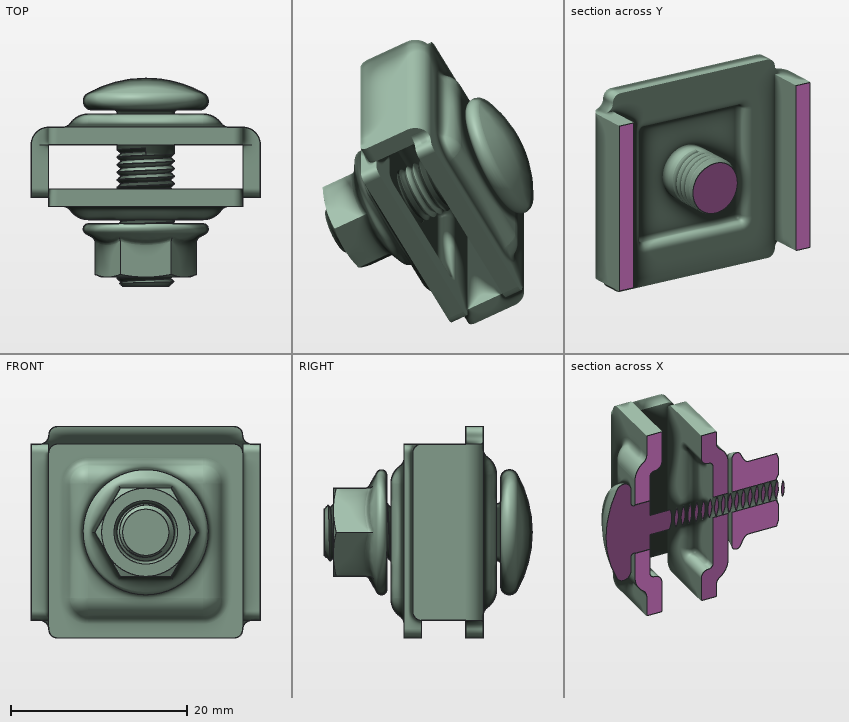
import cadquery as cq
import math


sheet = 2.0
inner_width = 22.0
outer_width = inner_width + 2 * sheet
channel_height = 24.0
wall_height = 20.0
plate_gap = 5.0
wall_overlap = 1.0
corner_radius = 1.0
cover_height = 22.0
cover_center_z = (cover_height - channel_height) / 2

pad_flat = 13.0
pad_rise = 1.5
pad_slope_width = 2.9
pad_crown_radius = 2.5
recess_slope_width = 1.5
recess_crown_radius = 0.5

bolt_length = 20.0
bolt_diameter = 6.5
head_gap = 0.45
head_radius = 7.1
head_height = 3.6
head_rim_radius = 1.0
neck_corner_radius = 0.55
neck_fillet = 0.35
tip_radius = 2.62
tip_chamfer_length = 0.6
thread_pitch = 0.858
thread_depth = 0.45
thread_crest_width = 0.06
thread_overcut = 0.2
thread_start_y = -0.77

nut_gap = 0.45
nut_height = 6.05
across_flats = 10.0
hex_chamfer = 0.3
flange_radius = 7.1
flange_rim_radius = 0.6
flange_slope = math.radians(30)
hex_fillet = 0.5
nut_mouth_diameter = 7.2

cover_inner_y = -plate_gap
cover_outer_y = cover_inner_y - sheet
wall_end_y = cover_inner_y - wall_overlap
head_seat_y = sheet + pad_rise + head_gap
neck_end_y = pad_rise
nut_seat_y = cover_outer_y - pad_rise - nut_gap
nut_end_y = nut_seat_y - nut_height
bolt_tip_y = head_seat_y - bolt_length


def pad_slope(foot_height, width, crown_radius):
    """Outline under a pad's slope: a convex arc beside the flat, then a concave arc to the foot.

    The first coordinate is the distance from the flat, the second is the height.
    """
    steepest = 2 * math.atan(pad_rise / width)
    foot_radius = width / math.sin(steepest) - crown_radius
    flat_height = foot_height + pad_rise

    def on_crown(angle):
        return crown_radius * math.sin(angle), flat_height - crown_radius * (1 - math.cos(angle))

    def on_foot(angle):
        return width - foot_radius * math.sin(angle), foot_height + foot_radius * (1 - math.cos(angle))

    return (
        cq.Workplane("XY")
        .moveTo(0, foot_height)
        .lineTo(0, flat_height)
        .threePointArc(on_crown(steepest / 2), on_crown(steepest))
        .threePointArc(on_foot(steepest / 2), on_foot(0))
        .close()
    )


def pad_shape(foot_height, slope_width, crown_radius):
    """A square pad that rises along Z from foot_height, with slopes that turn about the flat's corners."""
    half_flat = pad_flat / 2
    side = pad_slope(foot_height, slope_width, crown_radius).extrude(pad_flat)
    corner = pad_slope(foot_height, slope_width, crown_radius).revolve(90, (0, 0, 0), (0, 1, 0))
    edge = side.union(corner).rotate((0, 0, 0), (1, 0, 0), 90).translate((half_flat, half_flat, 0))
    pad = cq.Workplane("XY").workplane(offset=foot_height).rect(pad_flat, pad_flat).extrude(pad_rise)
    for turn in range(4):
        pad = pad.union(edge.rotate((0, 0, 0), (0, 0, 1), 90 * turn))
    return pad


def press_pad(plate, toward_back):
    """Adds the raised pad, and the recess under it, to a plate whose inner face is on Y = 0."""
    angle = -90 if toward_back else 90
    pad = pad_shape(sheet, pad_slope_width, pad_crown_radius)
    recess = pad_shape(0, recess_slope_width, recess_crown_radius)
    plate = plate.union(pad.rotate((0, 0, 0), (1, 0, 0), angle))
    return plate.cut(recess.rotate((0, 0, 0), (1, 0, 0), angle))


def along_y(start_y, end_y):
    """A workplane square to Y at start_y, and the extrusion distance from there to end_y.

    On the plane, local x is X and local y is Z.
    """
    return cq.Workplane("XZ", origin=(0, start_y, 0)), start_y - end_y


def round_bar(start_y, end_y, diameter):
    """A cylinder on the bolt's axis."""
    plane, distance = along_y(start_y, end_y)
    return plane.circle(diameter / 2).extrude(distance)


def neck_bar(start_y, end_y):
    """The bolt's square neck with rounded corners."""
    plane, distance = along_y(start_y, end_y)
    bar = plane.rect(bolt_diameter, bolt_diameter).extrude(distance)
    return bar.edges("|Y").fillet(neck_corner_radius)


def channel_face(start_y, end_y):
    """The channel's outline along Y: a tall middle with rounded corners that blends into the lower walls."""
    plane, distance = along_y(start_y, end_y)
    middle = plane.rect(inner_width, channel_height).extrude(distance).edges("|Y").fillet(corner_radius)
    face = middle.union(plane.rect(outer_width, wall_height).extrude(distance))

    blend_x = inner_width / 2 + corner_radius
    blend_z = wall_height / 2 + corner_radius
    for side_x in (-1, 1):
        for side_z in (-1, 1):
            center = (side_x * blend_x, side_z * blend_z)
            block_center = (center[0] - side_x * corner_radius / 2, center[1] - side_z * corner_radius / 2)
            block = plane.center(*block_center).rect(corner_radius, corner_radius).extrude(distance)
            hollow = plane.center(*center).circle(corner_radius).extrude(distance)
            face = face.union(block.cut(hollow))
    return face


def make_channel():
    """The back plate with its two side walls, its pad and the square hole for the bolt's neck."""
    bend_block = (
        cq.Workplane("XY")
        .rect(outer_width, 2 * sheet)
        .extrude(channel_height / 2, both=True)
        .edges("|Z and >Y")
        .fillet(sheet)
    )
    channel = channel_face(sheet, 0).intersect(bend_block)

    plane, wall_depth = along_y(0, wall_end_y)
    wall_centers = [(side * (inner_width + sheet) / 2, 0) for side in (-1, 1)]
    walls = plane.pushPoints(wall_centers).rect(sheet, wall_height).extrude(wall_depth)
    channel = channel.union(walls.edges("|X and <Y").fillet(corner_radius))

    channel = press_pad(channel, toward_back=True)
    return channel.cut(neck_bar(sheet + pad_rise, neck_end_y))


def make_cover():
    """The flat front plate, with its pad and a round hole for the bolt."""
    plane, distance = along_y(0, -sheet)
    plate = plane.rect(inner_width, cover_height).extrude(distance).edges("|Y").fillet(corner_radius)
    cover = press_pad(plate, toward_back=False).translate((0, cover_inner_y, cover_center_z))
    return cover.cut(round_bar(cover_inner_y, cover_outer_y - pad_rise, bolt_diameter))


def make_head():
    """The bolt's domed head: a rounded rim with a dome that runs smoothly into it."""
    rim_x = head_radius - head_rim_radius
    crown_drop = head_height - head_rim_radius
    dome_radius = (rim_x**2 + crown_drop**2 - head_rim_radius**2) / (2 * (crown_drop - head_rim_radius))
    dome_center = head_height - dome_radius
    joint_angle = math.atan2(rim_x, head_rim_radius - dome_center)

    def on_dome(angle):
        return dome_radius * math.sin(angle), dome_center + dome_radius * math.cos(angle)

    return (
        cq.Workplane("XY", origin=(0, head_seat_y, 0))
        .lineTo(rim_x, 0)
        .threePointArc((head_radius, head_rim_radius), on_dome(joint_angle))
        .threePointArc(on_dome(joint_angle / 2), (0, head_height))
        .close()
        .revolve(360, (0, 0, 0), (0, 1, 0))
    )


def make_thread_groove():
    """The V groove cut into the shank: a right-handed helix that runs out past the bolt's tip."""
    radius = bolt_diameter / 2
    half_width = (thread_pitch - thread_crest_width) / 2
    outer_half_width = half_width * (thread_depth + thread_overcut) / thread_depth
    length = thread_start_y - bolt_tip_y + thread_pitch
    helix = cq.Wire.makeHelix(thread_pitch, length, radius)
    groove = (
        cq.Workplane("XZ")
        .moveTo(radius - thread_depth, 0)
        .lineTo(radius + thread_overcut, outer_half_width)
        .lineTo(radius + thread_overcut, -outer_half_width)
        .close()
        .sweep(cq.Workplane(helix), isFrenet=True)
    )
    return (
        groove.rotate((0, 0, 0), (0, 0, 1), 90)
        .rotate((0, 0, 0), (1, 0, 0), 90)
        .translate((0, thread_start_y, 0))
    )


def make_bolt():
    """The carriage bolt: domed head, square neck, plain shank and thread."""
    bolt = make_head().union(neck_bar(head_seat_y, neck_end_y))
    neck_top = cq.selectors.BoxSelector(
        (-bolt_diameter, head_seat_y - neck_fillet, -bolt_diameter),
        (bolt_diameter, head_seat_y + neck_fillet, bolt_diameter),
        boundingbox=True,
    )
    bolt = bolt.edges(neck_top).fillet(neck_fillet)
    shank = round_bar(neck_end_y, bolt_tip_y, bolt_diameter)
    shank = shank.faces("<Y").chamfer(tip_chamfer_length, bolt_diameter / 2 - tip_radius)
    return bolt.union(shank.cut(make_thread_groove()))


def make_nut():
    """The flange nut, seated on +Y, with two of the hexagon's corners on the X axis."""
    corner_circle = across_flats / math.cos(math.pi / 6)
    rim_x = flange_radius - flange_rim_radius
    joint_x = rim_x + flange_rim_radius * math.sin(flange_slope)
    joint_y = -flange_rim_radius * (1 + math.cos(flange_slope))
    apex_y = joint_y - joint_x * math.tan(flange_slope)
    flange = (
        cq.Workplane("XY")
        .lineTo(rim_x, 0)
        .threePointArc((flange_radius, -flange_rim_radius), (joint_x, joint_y))
        .lineTo(0, apex_y)
        .close()
        .revolve(360, (0, 0, 0), (0, 1, 0))
        .rotate((0, 0, 0), (0, 1, 0), 90)
    )
    flat_circle = across_flats / 2
    corner_x = corner_circle / 2
    chamfer_cone = (
        cq.Workplane("XY")
        .lineTo(corner_x, 0)
        .lineTo(corner_x, hex_chamfer - nut_height)
        .lineTo(flat_circle, -nut_height)
        .lineTo(0, -nut_height)
        .close()
        .revolve(360, (0, 0, 0), (0, 1, 0))
    )
    plane, distance = along_y(0, -nut_height)
    hexagon = plane.polygon(6, corner_circle).extrude(distance).intersect(chamfer_cone)

    hex_foot = cq.selectors.BoxSelector(
        (-flange_radius, apex_y, -flange_radius),
        (flange_radius, joint_y, flange_radius),
    )
    nut = flange.union(hexagon)
    nut = nut.edges(hex_foot).edges("%HYPERBOLA").fillet(hex_fillet)
    nut = nut.translate((0, nut_seat_y, 0))

    countersink_depth = (nut_mouth_diameter - bolt_diameter) / 2
    mouth = (
        cq.Workplane("XY", origin=(0, nut_end_y, 0))
        .lineTo(nut_mouth_diameter / 2, 0)
        .lineTo(bolt_diameter / 2, countersink_depth)
        .lineTo(0, countersink_depth)
        .close()
        .revolve(360, (0, 0, 0), (0, 1, 0))
    )
    return nut.cut(round_bar(nut_seat_y, nut_end_y, bolt_diameter)).cut(mouth)


channel = make_channel()
cover = make_cover()
bolt = make_bolt()
nut = make_nut()
result = cq.Compound.makeCompound(
    [
        *channel.solids().vals(),
        *cover.solids().vals(),
        *bolt.solids().vals(),
        *nut.solids().vals(),
    ]
)